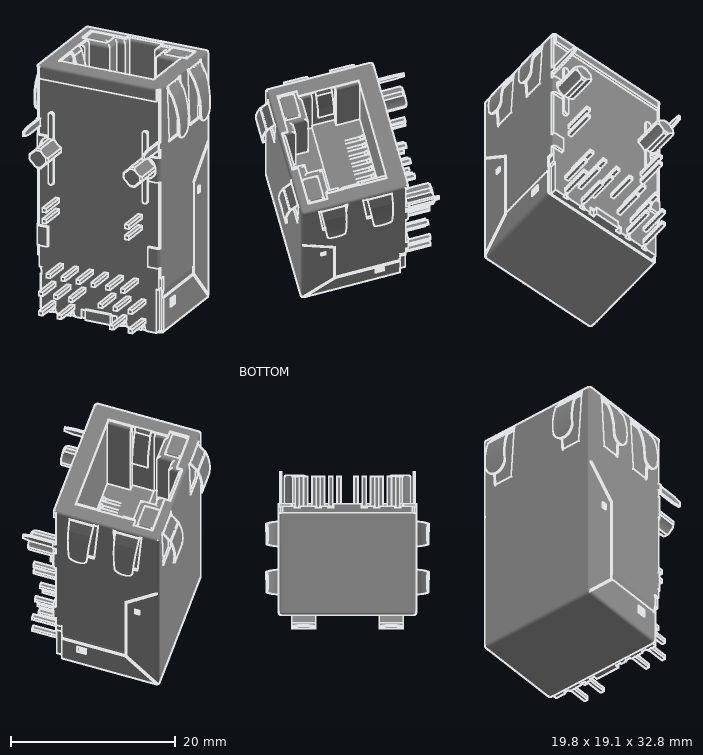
import cadquery as cq

WIDTH = 16.78
HALF_WIDTH = WIDTH / 2
DEPTH = 13.6
HEIGHT = 32.8
SHEET = 0.25
BEND_RADIUS = 0.4

FACE_SETBACK = 0.33
HOUSING_HALF_WIDTH = HALF_WIDTH - SHEET
HOUSING_BACK = DEPTH - SHEET
HOUSING_TOP = HEIGHT - SHEET

SIDE_EDGE_SETBACK = 0.42
LIP_HALF_WIDTH = 7.95
LIP_BOTTOM = 31.0
TAB_INNER_X = 6.85
TAB_SPANS = [(20.3, 23.55), (8.95, 11.55)]
CORNER_RELIEF_BACK = 1.15
CORNER_RELIEF_TOP = 7.5
CORNER_STEP_TOP = 6.0
CORNER_STEP = 0.3

GROUND_PIN_X = 8.0
GROUND_PIN_Z = 25.1
GROUND_PIN_HALF = 0.5
GROUND_PIN_TIP_HALF = 0.28
GROUND_PIN_ROOT = 1.0
GROUND_PIN_TAPER_Y = -2.7
GROUND_PIN_TIP_Y = -3.85

SPRING_THICKNESS = 0.17
SPRING_ROOT_Z = 32.3
SPRING_BEND_Z = 30.85
SPRING_END_Z = 26.4
SPRING_TIP_Z = 25.3
SIDE_SPRING = ((1.525, 26.9), 0.8, 1.4, 1.55, 1.15)
BACK_SPRING = ((1.6, 27.6), 1.05, 1.3, 1.47, 1.47)
SIDE_SPRING_Y = [9.55, 3.7]
SIDE_WINDOW_Y = [9.55, 4.0]
BACK_SPRING_X = 5.32
WINDOW_TOP_Z = 32.35
WINDOW_BOTTOM_Z = 24.8
WINDOW_TOP_HALF = 1.8
WINDOW_BOTTOM_HALF = 1.3

SEAM_WIDTH = 0.17
SEAM_DEPTH = 0.1
FLANGE_Y = 9.38
FLANGE_BACK_Y = 13.3
FLANGE_TOP_Z = 20.75
FLANGE_UPPER_Z = 16.85
FLANGE_LOWER_Z = 4.7
FLANGE_BOTTOM_Z = 0.45
JOG_TOP_Z = 5.75
JOG_DEPTH = 0.2
DIMPLES = [(10.8, 15.4, 0.6, 0.8, 0.17), (3.7, 3.3, 1.15, 1.05, 0.28)]
DIMPLE_DEPTH = 0.08

OPENING_HALF_WIDTH = 6.45
OPENING_BOTTOM_Y = 2.3
LED_WINDOW_HALF_WIDTH = 7.13
LED_WINDOW_BOTTOM_Y = 9.93
LED_WINDOW_TOP_Y = 12.35
KEY_OPENING_HALF_WIDTH = 2.4
KEY_OPENING_TOP_Y = 13.08
CAVITY_STEPS = [(5.95, 9.57), (3.15, 11.44), (2.0, 12.7)]
LEAD_IN = 0.42
CAVITY_FLOOR_Z = 19.0
CAVITY_LEDGE_Z = 20.5
LEDGE_Y = 8.32

SLOT_OUTER_X = 6.7
SLOT_BOTTOM_Y = 5.28
INNER_SPRING_Y = (5.75, 7.75)
INNER_SPRING_PROFILE = [
    (6.45, HEIGHT),
    (6.05, 32.2),
    (5.25, 29.2),
    (5.1, 26.5),
    (5.3, 26.5),
    (5.45, 29.15),
    (6.25, 32.0),
    (6.55, HOUSING_TOP),
    (6.65, HEIGHT),
]

LED_X = 5.45
LED_Y = 11.3
LED_WIDTH = 3.05
LED_DEPTH = 1.95
LED_ROUND = 0.23

CONTACT_COUNT = 8
CONTACT_PITCH = 1.02
CONTACT_WIDTH = 0.42
CONTACT_BOTTOM_Y = 2.5
CONTACT_TOP_Y = 4.75
CONTACT_RISE = 0.06
CONTACT_END_LENGTH = 0.38
CONTACT_END_RISE = 0.4

POST_X = 6.4
POST_Z = 22.0
POST_RADIUS = 1.3
POST_EDGE_HALF = 0.27
POST_FLUTE = 0.7
POST_END_Y = -3.45
POST_CHAMFER = 0.2
POST_CLEARANCE_RADIUS = 1.5
RIB_WIDTH = 0.65
RIB_LENGTH = 9.55

STOP_HALF_WIDTH = 1.7
STOP_TOP = 1.6
NOTCH_HALF_WIDTH = 2.4
NOTCH_TOP = 1.4
NOTCH_DEPTH = 0.2

PIN_SIZE = 0.52
PIN_END_Y = -3.3
PIN_ROWS = [
    (15.3, [5.62]),
    (13.85, [5.62]),
    (6.7, [1.02, 3.05, 5.08]),
    (4.13, [2.03, 4.06, 6.1]),
    (1.57, [3.56, 6.1]),
]
PIN_SLOT_NARROW = 0.32
PIN_SLOT_WIDE = 0.7
PIN_SLOT_DEPTH = 0.2
PIN_SLOT_FLARE_Z = 0.7


def block(x_span, y_span, z_span):
    """Box between the given pairs of limits."""
    size = [high - low for low, high in (x_span, y_span, z_span)]
    corner = (x_span[0], y_span[0], z_span[0])
    return cq.Workplane("XY").box(*size, centered=False).translate(corner)


def centred_block(half_width, y_span, z_span):
    """Box symmetric about the middle plane X = 0."""
    return block((-half_width, half_width), y_span, z_span)


def both_sides(shape):
    """The shape and its mirror image across X = 0."""
    return [shape, shape.mirror("YZ")]


def face_plane(y):
    """Plane facing the board: local x along +X, local y along +Z, normal along -Y."""
    return cq.Workplane("XZ", origin=(0, y, 0))


def side_prism(points, inner_x, outer_x):
    """Prism over a (y, z) outline between two X positions."""
    return cq.Workplane("YZ", origin=(inner_x, 0, 0)).polyline(points).close().extrude(outer_x - inner_x)


def front_removal():
    """Space left open at the board-side face, around the lip and the wrapped tabs."""
    removal = centred_block(HALF_WIDTH, (0, SIDE_EDGE_SETBACK), (0, HEIGHT - SHEET))
    removal = removal.union(centred_block(HALF_WIDTH, (0, CORNER_RELIEF_BACK), (0, SHEET)))
    removal = removal.cut(centred_block(LIP_HALF_WIDTH, (0, FACE_SETBACK), (LIP_BOTTOM, HEIGHT)))
    for z_span in TAB_SPANS:
        for tab in both_sides(block((TAB_INNER_X, HALF_WIDTH), (0, SIDE_EDGE_SETBACK), z_span)):
            removal = removal.cut(tab)
    relief = block(
        (HOUSING_HALF_WIDTH, HALF_WIDTH), (0, CORNER_RELIEF_BACK), (0, CORNER_RELIEF_TOP)
    )
    post_clearance = (
        face_plane(FACE_SETBACK).center(POST_X, POST_Z).circle(POST_CLEARANCE_RADIUS).extrude(FACE_SETBACK)
    )
    for cutter in both_sides(relief) + both_sides(post_clearance):
        removal = removal.union(cutter)
    return removal


def jack_opening():
    """Opening through the top sheet: plug port, indicator windows and latch key."""
    z_span = (HOUSING_TOP, HEIGHT)
    port = centred_block(OPENING_HALF_WIDTH, (OPENING_BOTTOM_Y, LED_WINDOW_TOP_Y), z_span)
    windows = centred_block(LED_WINDOW_HALF_WIDTH, (LED_WINDOW_BOTTOM_Y, LED_WINDOW_TOP_Y), z_span)
    key = centred_block(KEY_OPENING_HALF_WIDTH, (LED_WINDOW_BOTTOM_Y, KEY_OPENING_TOP_Y), z_span)
    return port.union(windows).union(key)


def panel_spring(peak, bend_x, tip_x, root_half, end_half):
    """Bowed finger that leaves a sheet surface at x = 0 and bulges towards +X, centred on y = 0."""
    reach, peak_z = peak
    thick = SPRING_THICKNESS
    strip = (
        cq.Workplane("XZ")
        .moveTo(-thick, SPRING_ROOT_Z)
        .lineTo(0, SPRING_ROOT_Z)
        .lineTo(bend_x, SPRING_BEND_Z)
        .threePointArc(peak, (tip_x, SPRING_TIP_Z))
        .lineTo(tip_x - thick, SPRING_TIP_Z)
        .threePointArc((reach - thick, peak_z), (bend_x - thick, SPRING_BEND_Z))
        .close()
        .extrude(root_half, both=True)
    )
    outline = (
        cq.Workplane("YZ", origin=(-SHEET, 0, 0))
        .moveTo(-root_half, SPRING_ROOT_Z)
        .lineTo(-end_half, SPRING_END_Z)
        .threePointArc((0, SPRING_TIP_Z), (end_half, SPRING_END_Z))
        .lineTo(root_half, SPRING_ROOT_Z)
        .close()
        .extrude(2 * reach)
    )
    root = block((-SHEET, 0), (-root_half, root_half), (SPRING_ROOT_Z - SHEET, WINDOW_TOP_Z))
    return strip.intersect(outline).union(root)


def spring_window():
    """Tapered window through a sheet whose surface is at x = 0, centred on y = 0."""
    outline = [
        (-WINDOW_TOP_HALF, WINDOW_TOP_Z),
        (-WINDOW_BOTTOM_HALF, WINDOW_BOTTOM_Z),
        (WINDOW_BOTTOM_HALF, WINDOW_BOTTOM_Z),
        (WINDOW_TOP_HALF, WINDOW_TOP_Z),
    ]
    return side_prism(outline, -SHEET, 0)


def onto_side(shape, y):
    return shape.translate((HALF_WIDTH, y, 0))


def onto_back(shape, x):
    return shape.rotate((0, 0, 0), (0, 0, 1), 90).translate((x, DEPTH, 0))


def add_panel_springs(shield):
    window = spring_window()
    side_spring = panel_spring(*SIDE_SPRING)
    back_spring = panel_spring(*BACK_SPRING)
    windows = both_sides(onto_back(window, BACK_SPRING_X))
    springs = both_sides(onto_back(back_spring, BACK_SPRING_X))
    for window_y, spring_y in zip(SIDE_WINDOW_Y, SIDE_SPRING_Y):
        windows += both_sides(onto_side(window, window_y))
        springs += both_sides(onto_side(side_spring, spring_y))
    for cutter in windows:
        shield = shield.cut(cutter)
    for spring in springs:
        shield = shield.union(spring)
    return shield


def rear_flange_seam():
    """Groove that outlines the rear cover flange on the +X side."""
    lower_back = (FLANGE_BACK_Y, FLANGE_BOTTOM_Z)
    lower_front = (FLANGE_Y, FLANGE_LOWER_Z)
    upper_front = (FLANGE_Y, FLANGE_UPPER_Z)
    upper_back = (FLANGE_BACK_Y, FLANGE_TOP_Z)
    return (
        cq.Workplane("YZ", origin=(HALF_WIDTH - SEAM_DEPTH, 0, 0))
        .polyline([lower_back, lower_front, upper_front, upper_back])
        .offset2D(SEAM_WIDTH / 2)
        .extrude(SEAM_DEPTH)
    )


def side_jog():
    """Sloped recess where the side sheet dips behind the bottom flap on the +X side."""
    length = FLANGE_Y - CORNER_RELIEF_BACK
    return (
        cq.Workplane("XZ", origin=(0, FLANGE_Y, 0))
        .polyline(
            [
                (HALF_WIDTH, JOG_TOP_Z),
                (HALF_WIDTH - JOG_DEPTH, FLANGE_LOWER_Z + SEAM_WIDTH),
                (HALF_WIDTH - JOG_DEPTH, FLANGE_LOWER_Z),
                (HALF_WIDTH, FLANGE_LOWER_Z),
            ]
        )
        .close()
        .extrude(length)
    )


def side_dimple(y, z, y_size, z_size, rim_width):
    """Stepped rectangular dimple in the +X side."""
    start = cq.Workplane("YZ", origin=(HALF_WIDTH, 0, 0)).center(y, z)
    rim = start.rect(y_size, z_size).extrude(-DIMPLE_DEPTH)
    centre = start.rect(y_size - 2 * rim_width, z_size - 2 * rim_width).extrude(-2 * DIMPLE_DEPTH)
    return rim.union(centre)


def ground_pin():
    """Flat tapered pin below a shoulder flush with the side sheet, on the +X side."""
    outline = [
        (GROUND_PIN_ROOT, GROUND_PIN_Z - GROUND_PIN_HALF),
        (GROUND_PIN_TAPER_Y, GROUND_PIN_Z - GROUND_PIN_HALF),
        (GROUND_PIN_TIP_Y, GROUND_PIN_Z - GROUND_PIN_TIP_HALF),
        (GROUND_PIN_TIP_Y, GROUND_PIN_Z + GROUND_PIN_TIP_HALF),
        (GROUND_PIN_TAPER_Y, GROUND_PIN_Z + GROUND_PIN_HALF),
        (GROUND_PIN_ROOT, GROUND_PIN_Z + GROUND_PIN_HALF),
    ]
    blade = side_prism(outline, GROUND_PIN_X, GROUND_PIN_X + SHEET)
    shoulder = block(
        (GROUND_PIN_X, HALF_WIDTH),
        (0, GROUND_PIN_ROOT),
        (GROUND_PIN_Z - GROUND_PIN_HALF, GROUND_PIN_Z + GROUND_PIN_HALF),
    )
    return blade.union(shoulder)


def inner_spring():
    """Contact finger that leans from the port edge into the cavity on the +X side."""
    low_y, high_y = INNER_SPRING_Y
    return (
        cq.Workplane("XZ", origin=(0, high_y, 0))
        .polyline(INNER_SPRING_PROFILE)
        .close()
        .extrude(high_y - low_y)
    )


def housing_envelope():
    return centred_block(HOUSING_HALF_WIDTH, (FACE_SETBACK, HOUSING_BACK), (SHEET, HOUSING_TOP))


def make_shield():
    shield = centred_block(HALF_WIDTH, (0, DEPTH), (0, HEIGHT)).edges().fillet(BEND_RADIUS)
    shield = shield.cut(housing_envelope()).cut(front_removal()).cut(jack_opening())
    grooves = both_sides(rear_flange_seam()) + both_sides(side_jog())
    for dimple in DIMPLES:
        grooves += both_sides(side_dimple(*dimple))
    for groove in grooves:
        shield = shield.cut(groove)
    shield = add_panel_springs(shield)
    for finger in both_sides(ground_pin()) + both_sides(inner_spring()):
        shield = shield.union(finger)
    return shield


def plug_cavity():
    """Stepped plug cavity with a rounded lead-in at its mouth."""
    lower_y = OPENING_BOTTOM_Y
    right_side = []
    for half_width, top_y in CAVITY_STEPS:
        right_side += [(half_width, lower_y), (half_width, top_y)]
        lower_y = top_y
    left_side = [(-x, y) for x, y in reversed(right_side)]
    cavity = (
        cq.Workplane("XY", origin=(0, 0, CAVITY_FLOOR_Z))
        .polyline(right_side + left_side)
        .close()
        .extrude(HOUSING_TOP - CAVITY_FLOOR_Z)
    )
    ledge = centred_block(CAVITY_STEPS[0][0], (LEDGE_Y, DEPTH), (CAVITY_FLOOR_Z, CAVITY_LEDGE_Z))
    return cavity.cut(ledge)


def round_cavity_mouth(housing):
    """Rounds every mouth edge of the cavity except the straight one next to the board."""
    inside = cq.selectors.BoxSelector(
        (-OPENING_HALF_WIDTH, OPENING_BOTTOM_Y + LEAD_IN, HOUSING_TOP - LEAD_IN),
        (OPENING_HALF_WIDTH, KEY_OPENING_TOP_Y, HEIGHT),
    )
    return housing.faces(">Z").edges(inside).fillet(LEAD_IN)


def spring_slot():
    """Side slot of the cavity that clears the shield's inner spring on the +X side."""
    return block((0, SLOT_OUTER_X), (SLOT_BOTTOM_Y, LEDGE_Y), (CAVITY_FLOOR_Z, HOUSING_TOP))


def contact(x):
    """Wire that rises gently from the cavity floor and turns up at its board-side end."""
    knee_y = CONTACT_BOTTOM_Y + CONTACT_END_LENGTH
    profile = [
        (CONTACT_BOTTOM_Y, CAVITY_FLOOR_Z),
        (CONTACT_BOTTOM_Y, CAVITY_FLOOR_Z + CONTACT_END_RISE),
        (knee_y, CAVITY_FLOOR_Z + CONTACT_RISE),
        (CONTACT_TOP_Y, CAVITY_FLOOR_Z),
    ]
    return side_prism(profile, x - CONTACT_WIDTH / 2, x + CONTACT_WIDTH / 2)


def indicator_lens():
    lens = block(
        (LED_X - LED_WIDTH / 2, LED_X + LED_WIDTH / 2),
        (LED_Y - LED_DEPTH / 2, LED_Y + LED_DEPTH / 2),
        (HOUSING_TOP, HEIGHT),
    )
    return lens.faces(">Z").edges().fillet(LED_ROUND)


def locating_post():
    """Post with four narrow edges and shallow flutes between them, on the +X side."""
    tip, half, flute = POST_RADIUS, POST_EDGE_HALF, POST_FLUTE
    post = (
        face_plane(FACE_SETBACK)
        .center(POST_X, POST_Z)
        .moveTo(tip, -half)
        .lineTo(tip, half)
        .threePointArc((flute, flute), (half, tip))
        .lineTo(-half, tip)
        .threePointArc((-flute, flute), (-tip, half))
        .lineTo(-tip, -half)
        .threePointArc((-flute, -flute), (-half, -tip))
        .lineTo(half, -tip)
        .threePointArc((flute, -flute), (tip, -half))
        .close()
        .extrude(FACE_SETBACK - POST_END_Y)
    )
    bevelled_round = (
        face_plane(FACE_SETBACK)
        .center(POST_X, POST_Z)
        .circle(POST_RADIUS + POST_EDGE_HALF)
        .extrude(FACE_SETBACK - POST_END_Y)
        .faces("<Y")
        .chamfer(POST_CHAMFER + POST_EDGE_HALF)
    )
    return post.intersect(bevelled_round)


def standoff_rib():
    return (
        face_plane(FACE_SETBACK)
        .center(POST_X, POST_Z)
        .slot2D(RIB_LENGTH, RIB_WIDTH, 90)
        .extrude(FACE_SETBACK)
    )


def solder_pin(x, z):
    half = PIN_SIZE / 2
    return block((x - half, x + half), (PIN_END_Y, FACE_SETBACK), (z - half, z + half))


def pin_slot(x, z):
    """Flared groove that runs from a bottom-row pin to the lower edge of the face."""
    top_z = z - PIN_SIZE / 2
    outline = [
        (x - PIN_SLOT_NARROW / 2, top_z),
        (x - PIN_SLOT_NARROW / 2, PIN_SLOT_FLARE_Z),
        (x - PIN_SLOT_WIDE / 2, SHEET),
        (x + PIN_SLOT_WIDE / 2, SHEET),
        (x + PIN_SLOT_NARROW / 2, PIN_SLOT_FLARE_Z),
        (x + PIN_SLOT_NARROW / 2, top_z),
    ]
    return face_plane(FACE_SETBACK + PIN_SLOT_DEPTH).polyline(outline).close().extrude(PIN_SLOT_DEPTH)


def corner_step():
    """Step along the lower board-side corner on the +X side."""
    return block(
        (HOUSING_HALF_WIDTH - CORNER_STEP, HOUSING_HALF_WIDTH),
        (FACE_SETBACK, CORNER_RELIEF_BACK),
        (SHEET, CORNER_STEP_TOP),
    )


def make_housing():
    housing = round_cavity_mouth(housing_envelope().cut(plug_cavity()))
    notch_back = FACE_SETBACK + NOTCH_DEPTH
    cutters = [centred_block(NOTCH_HALF_WIDTH, (FACE_SETBACK, notch_back), (SHEET, NOTCH_TOP))]
    for cutter in (spring_slot(), corner_step(), ground_pin()):
        cutters += both_sides(cutter)
    additions = [centred_block(STOP_HALF_WIDTH, (0, notch_back), (SHEET, STOP_TOP))]
    additions += both_sides(indicator_lens()) + both_sides(locating_post()) + both_sides(standoff_rib())
    for z, x_places in PIN_ROWS:
        for x in x_places:
            additions += both_sides(solder_pin(x, z))
    bottom_z, bottom_places = PIN_ROWS[-1]
    for x in bottom_places:
        cutters += both_sides(pin_slot(x, bottom_z))
    first_contact = -CONTACT_PITCH * (CONTACT_COUNT - 1) / 2
    additions += [contact(first_contact + i * CONTACT_PITCH) for i in range(CONTACT_COUNT)]
    for cutter in cutters:
        housing = housing.cut(cutter)
    for addition in additions:
        housing = housing.union(addition)
    return housing


shield = make_shield()
housing = make_housing()

result = cq.Compound.makeCompound([*shield.vals(), *housing.vals()])